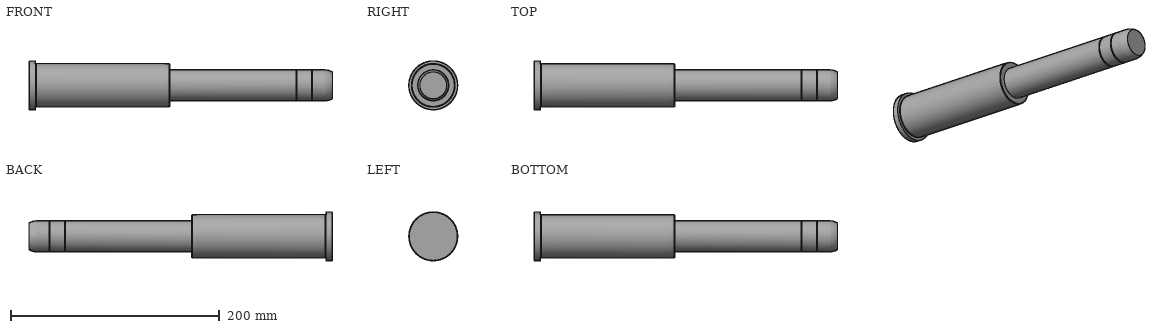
import cadquery as cq

total_length = 291.0

head_diameter = 47.0
head_length = 6.0
head_chamfer = 0.5

body_diameter = 42.0
body_end = 135.0
body_edge_chamfer = 0.5
lead_length = 5.0
lead_depth = 0.15
neck_width = 1.0
neck_depth = 0.3

shaft_diameter = 30.0
groove_width = 1.0
groove_depth = 0.3
groove_starts = (256.0, 271.0)
nose_length = 7.0
nose_tip_diameter = 25.5

head_radius = head_diameter / 2
body_radius = body_diameter / 2
lead_radius = body_radius - lead_depth
shaft_radius = shaft_diameter / 2
nose_tip_radius = nose_tip_diameter / 2
nose_start = total_length - nose_length


def groove_ring(start, width, outer_radius, depth):
    """Ring of rectangular section, to be cut from a cylinder of outer_radius."""
    ring = cq.Workplane("YZ").workplane(offset=start)
    return ring.circle(outer_radius).circle(outer_radius - depth).extrude(width)


profile = (
    cq.Workplane("XY")
    .lineTo(0, head_radius - head_chamfer)
    .lineTo(head_chamfer, head_radius)
    .lineTo(head_length, head_radius)
    .lineTo(head_length, body_radius)
    .lineTo(body_end - lead_length, body_radius)
    .lineTo(body_end - body_edge_chamfer, lead_radius)
    .lineTo(body_end, lead_radius - body_edge_chamfer)
    .lineTo(body_end, shaft_radius)
    .lineTo(nose_start, shaft_radius)
    .tangentArcPoint((total_length, nose_tip_radius), relative=False)
    .lineTo(total_length, 0)
    .close()
)
result = profile.revolve(360, (0, 0, 0), (1, 0, 0))

result = result.cut(groove_ring(head_length, neck_width, body_radius, neck_depth))

for groove_start in groove_starts:
    result = result.cut(groove_ring(groove_start, groove_width, shaft_radius, groove_depth))